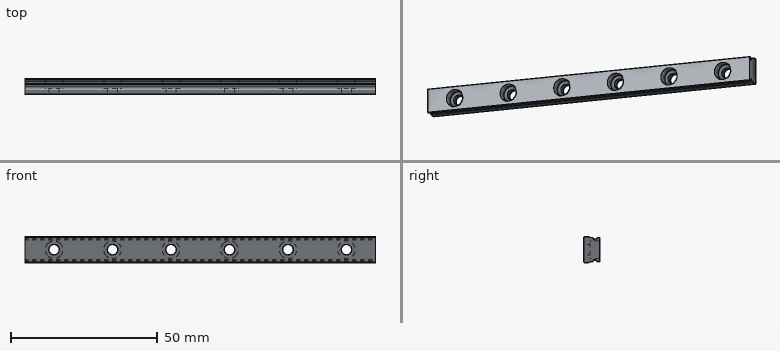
import cadquery as cq

length = 120.0
height = 5.5
base_width = 9.0

foot_half = base_width / 2
base_chamfer = 0.3

step_centre = 1.85
step_half_run = 0.3

head_half = 4.18
head_chamfer_height = 0.35
head_chamfer_inset = 0.15

groove_centre = 3.85
groove_half_width = 0.9
groove_depth = 0.5

relief_centre = 3.7
relief_width = 0.25
relief_depth = 0.3

hole_diameter = 3.5
counterbore_diameter = 6.0
counterbore_depth = 3.3
hole_pitch = 20.0
hole_count = 6


def rail_blank():
    """Rail section without the grooves, extruded along X."""
    step_start = step_centre - step_half_run
    step_end = step_centre + step_half_run
    step_middle = (foot_half + head_half) / 2
    return (
        cq.Workplane("YZ")
        .lineTo(0, foot_half - base_chamfer)
        .lineTo(base_chamfer, foot_half)
        .lineTo(step_start, foot_half)
        .tangentArcPoint((step_centre, step_middle), relative=False)
        .tangentArcPoint((step_end, head_half), relative=False)
        .lineTo(height - head_chamfer_height, head_half)
        .lineTo(height, head_half - head_chamfer_inset)
        .lineTo(height, 0)
        .mirrorX()
        .extrude(length)
    )


def ball_groove():
    """Cutter for the arc-shaped groove and its relief slot on the +Z flank."""
    first_edge = (groove_centre - groove_half_width, head_half)
    deepest_point = (groove_centre, head_half - groove_depth)
    second_edge = (groove_centre + groove_half_width, head_half)
    groove = (
        cq.Workplane("YZ")
        .moveTo(*first_edge)
        .threePointArc(deepest_point, second_edge)
        .close()
        .extrude(length)
    )
    slot_depth = groove_depth + relief_depth
    slot = (
        cq.Workplane("YZ")
        .center(relief_centre, head_half - slot_depth / 2)
        .rect(relief_width, slot_depth)
        .extrude(length)
    )
    return groove.union(slot)


def add_mounting_holes(rail):
    """Cut the row of counterbored holes, centred along the length, from the head's top face."""
    return (
        rail.faces(">Y")
        .workplane(centerOption="CenterOfBoundBox")
        .rarray(hole_pitch, hole_pitch, hole_count, 1)
        .cboreHole(hole_diameter, counterbore_diameter, counterbore_depth)
    )


groove = ball_groove()
grooved_rail = rail_blank().cut(groove).cut(groove.mirror("XY"))
result = add_mounting_holes(grooved_rail)